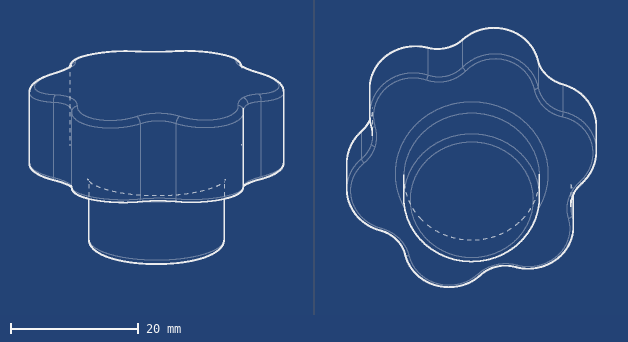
import cadquery as cq
import math

total_height = 28.05
lobe_count = 6
tip_radius = 19.98
lobe_radius = 7.0
valley_radius = 16.4

hub_diameter = 21.3
hub_end_fillet = 1.0
neck_fillet = 1.48

under_height = 11.5
under_rim_height = 12.95
dome_rim_height = 26.0
top_rim_fillet = 1.0
bottom_rim_fillet = 0.68
blank_radius = tip_radius + 2.0

half_pitch = math.pi / lobe_count
lobe_center = tip_radius - lobe_radius
center_gap = valley_radius - lobe_radius
valley_center = (lobe_center**2 - center_gap**2) / (
    2 * (lobe_center * math.cos(half_pitch) - center_gap)
)
valley_arc_radius = valley_center - valley_radius
tangent_share = lobe_radius / (lobe_radius + valley_arc_radius)


def polar(radius, angle):
    return (radius * math.cos(angle), radius * math.sin(angle))


def tangent_point(lobe_angle, side):
    """Point where a lobe meets the valley on its given side (-1 or +1)."""
    lx, ly = polar(lobe_center, lobe_angle)
    vx, vy = polar(valley_center, lobe_angle + side * half_pitch)
    return (lx + tangent_share * (vx - lx), ly + tangent_share * (vy - ly))


def lobed_prism():
    first_lobe = math.pi / 2
    outline = cq.Workplane("XY").moveTo(*tangent_point(first_lobe, -1))
    for i in range(lobe_count):
        angle = first_lobe + 2 * half_pitch * i
        next_angle = angle + 2 * half_pitch
        outline = outline.threePointArc(polar(tip_radius, angle), tangent_point(angle, 1))
        outline = outline.threePointArc(
            polar(valley_radius, angle + half_pitch), tangent_point(next_angle, -1)
        )
    return outline.close().extrude(total_height + blank_radius)


def sphere_drop(radius, rim_drop):
    """Axial drop of a sphere at a radius, given its drop at the lobe tips."""
    sphere_radius = (tip_radius**2 + rim_drop**2) / (2 * rim_drop)
    return sphere_radius - math.sqrt(sphere_radius**2 - radius**2)


def dome_point(radius):
    return (radius, total_height - sphere_drop(radius, total_height - dome_rim_height))


def under_point(radius):
    return (radius, under_height + sphere_drop(radius, under_rim_height - under_height))


def turned_blank():
    """Body of revolution with a spherical dome and a shallower spherical underside."""
    return (
        cq.Workplane("XZ")
        .moveTo(*under_point(0))
        .threePointArc(under_point(blank_radius / 2), under_point(blank_radius))
        .lineTo(*dome_point(blank_radius))
        .threePointArc(dome_point(blank_radius / 2), dome_point(0))
        .close()
        .revolve(360, (0, 0), (0, 1))
    )


def head():
    body = lobed_prism().intersect(turned_blank())
    seam_reach = 0.6 * valley_radius
    seams = cq.selectors.BoxSelector(
        (-seam_reach, -seam_reach, 0), (seam_reach, seam_reach, total_height)
    )
    rim = cq.selectors.InverseSelector(seams)
    body = body.faces(">Z").edges(rim).fillet(top_rim_fillet)
    return body.faces("<Z").edges(rim).fillet(bottom_rim_fillet)


def hub():
    return (
        cq.Workplane("XY")
        .circle(hub_diameter / 2)
        .extrude((under_height + total_height) / 2)
        .faces("<Z")
        .edges()
        .fillet(hub_end_fillet)
    )


def neck_edge():
    """Selector for the circle where the hub enters the underside of the head."""
    reach, neck_height = under_point(hub_diameter / 2)
    margin = 0.2
    return cq.selectors.BoxSelector(
        (-reach - margin, -reach - margin, neck_height - margin),
        (reach + margin, reach + margin, neck_height + margin),
        boundingbox=True,
    )


knob = head().union(hub())
result = knob.edges(neck_edge()).fillet(neck_fillet)